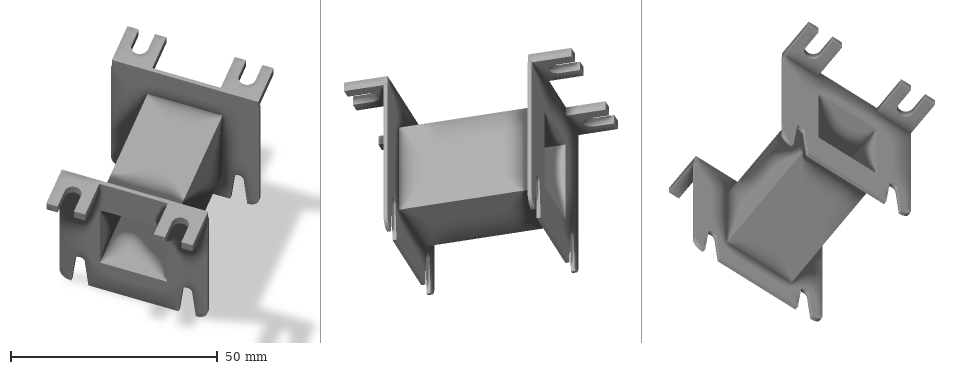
import cadquery as cq
import math

window_width = 17.25
window_height = 20.75
tube_wall = 1.0
tube_length = 35.5

flange_width = 38.0
flange_height = 41.5
flange_thickness = 1.0
flange_corner_radius = 3.0

tab_width = 10.0
tab_reach = 10.0
tab_thickness = 2.35
tab_center_x = 13.8
tab_slot_width = 4.2
tab_slot_depth = 7.1

notch_mouth_width = 4.4
notch_tip_radius = 1.25
notch_height = 10.25

flange_inner_y = tube_length / 2
flange_outer_y = flange_inner_y + flange_thickness
tab_end_y = flange_outer_y + tab_reach
top_z = flange_height / 2
bottom_z = -flange_height / 2
sides = (-1, 1)


def make_tube():
    """Solid core of the tube; the window is cut through everything later."""
    return cq.Workplane("XY").box(
        window_width + 2 * tube_wall, tube_length, window_height + 2 * tube_wall
    )


def make_notch(center_x):
    """Tapered notch with a round tip tangent to its sloping sides."""
    tip_center_z = bottom_z + notch_height - notch_tip_radius
    mouth_half = notch_mouth_width / 2
    tip_drop = tip_center_z - bottom_z

    corner_distance = math.hypot(mouth_half, tip_drop)
    corner_angle = math.atan2(-tip_drop, mouth_half)
    tangent_angle = corner_angle + math.acos(notch_tip_radius / corner_distance)
    tangent_x = notch_tip_radius * math.cos(tangent_angle)
    tangent_z = tip_center_z + notch_tip_radius * math.sin(tangent_angle)

    return (
        cq.Workplane("XZ")
        .moveTo(center_x - mouth_half, bottom_z)
        .lineTo(center_x - tangent_x, tangent_z)
        .threePointArc((center_x, bottom_z + notch_height), (center_x + tangent_x, tangent_z))
        .lineTo(center_x + mouth_half, bottom_z)
        .close()
        .extrude(flange_outer_y, both=True)
    )


def make_flange(side):
    """Thin end plate with four rounded corners."""
    return (
        cq.Workplane("XY")
        .box(flange_width, flange_thickness, flange_height)
        .edges("|Y")
        .fillet(flange_corner_radius)
        .translate((0, side * (flange_inner_y + flange_thickness / 2), 0))
    )


def make_tab(center_x, side):
    """Tab from the flange's inner face outward, with a round-bottomed open slot."""
    slot_radius = tab_slot_width / 2
    slot_center_y = tab_end_y - tab_slot_depth + slot_radius
    slot_length = tab_end_y - slot_center_y
    tab_bottom = cq.Workplane("XY").workplane(offset=top_z - tab_thickness)
    tab_length = tab_end_y - flange_inner_y

    plate = (
        tab_bottom.center(center_x, side * (flange_inner_y + tab_length / 2))
        .rect(tab_width, tab_length)
        .extrude(tab_thickness)
    )
    slot_end = (
        tab_bottom.center(center_x, side * slot_center_y)
        .circle(slot_radius)
        .extrude(tab_thickness)
    )
    slot_channel = (
        tab_bottom.center(center_x, side * (slot_center_y + slot_length / 2))
        .rect(tab_slot_width, slot_length)
        .extrude(tab_thickness)
    )
    return plate.cut(slot_end).cut(slot_channel)


result = make_tube()
for y_side in sides:
    result = result.union(make_flange(y_side))
    for x_side in sides:
        result = result.union(make_tab(x_side * tab_center_x, y_side))

for x_side in sides:
    result = result.cut(make_notch(x_side * tab_center_x))

window = cq.Workplane("XY").box(window_width, 2 * flange_outer_y, window_height)
result = result.cut(window)